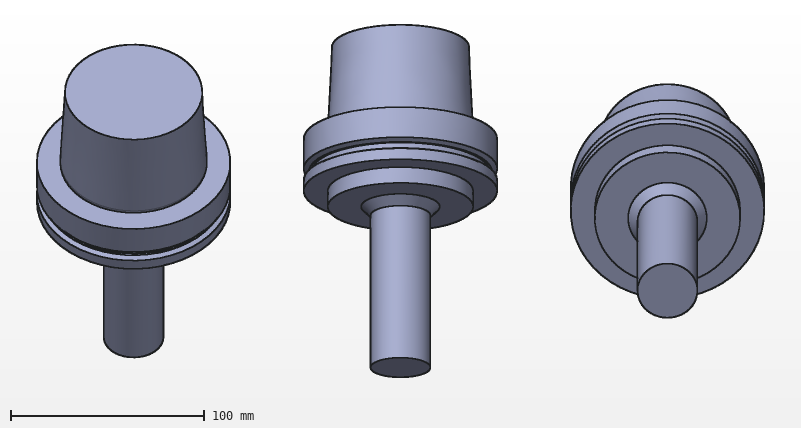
import cadquery as cq

total_length = 175.0
collar_bottom = 87.8
flange_bottom = 96.5
flange_top = 125.0
taper_bottom = 126.5
groove_bottom = 102.4
groove_top = 108.5
groove_lower_chamfer = 1.2
groove_upper_chamfer = 1.5

shank_radius = 31.0 / 2
cone_radius = 20.3
collar_radius = 75.0 / 2
flange_radius = 100.0 / 2
groove_radius = 92.0 / 2
groove_ledge_radius = 47.2
taper_base_radius = 75.8 / 2

taper_ratio = 10
taper_top_radius = taper_base_radius - (total_length - taper_bottom) / taper_ratio / 2

shank_length = collar_bottom - (cone_radius - shank_radius)

profile = (
    cq.Workplane("XZ")
    .moveTo(0, 0)
    .lineTo(shank_radius, 0)
    .lineTo(shank_radius, shank_length)
    .lineTo(cone_radius, collar_bottom)
    .lineTo(collar_radius, collar_bottom)
    .lineTo(collar_radius, flange_bottom)
    .lineTo(flange_radius, flange_bottom)
    .lineTo(flange_radius, groove_bottom)
    .lineTo(groove_ledge_radius, groove_bottom + groove_lower_chamfer)
    .lineTo(groove_radius, groove_bottom + groove_lower_chamfer)
    .lineTo(groove_radius, groove_top - groove_upper_chamfer)
    .lineTo(groove_ledge_radius, groove_top - groove_upper_chamfer)
    .lineTo(flange_radius, groove_top)
    .lineTo(flange_radius, flange_top)
    .lineTo(taper_base_radius, flange_top)
    .lineTo(taper_base_radius, taper_bottom)
    .lineTo(taper_top_radius, total_length)
    .lineTo(0, total_length)
    .close()
)

result = profile.revolve(360, (0, 0, 0), (0, 1, 0))